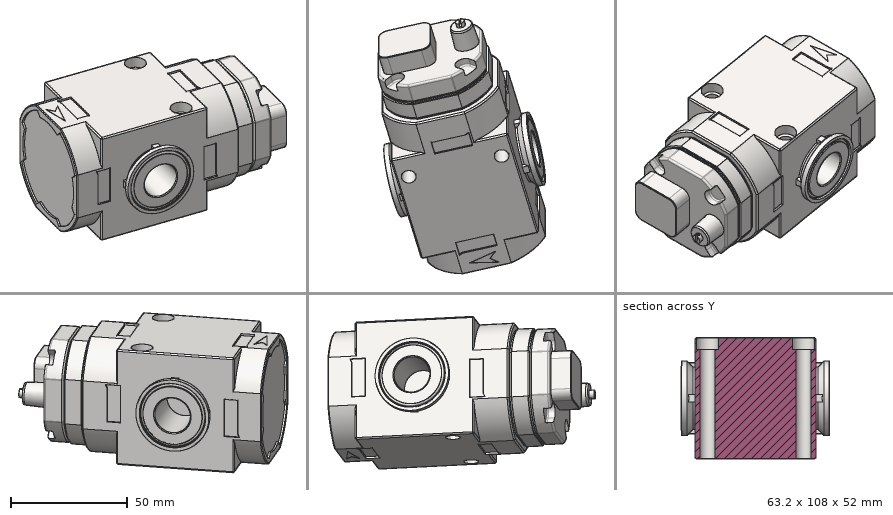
import cadquery as cq
import math


BODY_SIDE = 51.8
BODY_CORNER_RADIUS = 28.1
BODY_FRONT = -37.7
BODY_BACK = 41.0
CUBE_CHAMFER = 0.6
BODY_FRONT_CHAMFER = 0.4
BODY_BACK_CHAMFER = 0.6
HALF_BODY = BODY_SIDE / 2
EMBED = 1.1

RECESS_DEPTH = 0.9
RECESS_OUTER_RADIUS = 25.7
RECESS_INNER_RADIUS = 22.8
RECESS_OUTER_HALF_ANGLE = 22.2
RECESS_INNER_HALF_ANGLE = 19.7
RECESS_TURN = -1.0

LABEL_LENGTH = 16.7
LABEL_WIDTH = 5.9
LABEL_DEPTH = 0.9
LABEL_TICK_LENGTH = 1.5
LABEL_TICK_HEIGHT = 0.6
BACK_LABEL_CENTER = (1.5, 27.0)
FRONT_LABEL_CENTER = (-1.3, -24.4)
ARROW_HEIGHT = 0.1
ARROW_TIP_X = 6.4
ARROW_NOTCH_X = -2.6
ARROW_TAIL_X = -5.7
ARROW_HALF_WIDTH = 2.8
ARROW_Y = -32.8

MOUNT_X = 20.5
MOUNT_Y = 15.8
MOUNT_DIAMETER = 6.3
MOUNT_BORE_DIAMETER = 9.3
MOUNT_BORE_DEPTH = 5.0

PORT_FACE = 31.5
PORT_FLANGE_RADIUS = 16.0
PORT_FLANGE_WIDTH = 2.3
PORT_NECK_RADIUS = 13.5
PORT_CONE_LENGTH = PORT_FLANGE_RADIUS - PORT_NECK_RADIUS
PORT_BORE_RADIUS = 7.8
PORT_BORE_DEPTH = 23.8
PORT_BORE_CHAMFER = 0.4
SEAL_GROOVE_INNER = 13.0
SEAL_GROOVE_OUTER = 14.5
SEAL_GROOVE_DEPTH = 1.1
SEAL_WIDTH = 1.1
RIGHT_SEAL_RISE = 0.2
LEFT_SEAL_RISE = -0.4
LUG_WIDTH = 3.2
LUG_REACH = 15.2
LUG_END = 28.7

NECK_SIDE = 46.2
NECK_CORNER_RADIUS = 25.1
RING_SIDE = 46.9
RING_CORNER_RADIUS = 25.5
RING_FRONT = 41.8
RING_BACK = 48.9
COVER_SIDE = 46.1
COVER_CORNER_RADIUS = 25.0
COVER_FRONT = 49.6
COVER_BACK = 58.4
COVER_FRONT_CHAMFER = 0.9
COVER_BACK_FILLET = 1.0
COVER_SIDE_FILLET = 0.9
SEAM_SIDE = 45.4
SEAM_CORNER_RADIUS = 24.6
NOTCH_WIDTH = 7.1
NOTCH_DEPTH = 3.5
NOTCH_FLOOR_FILLET = 0.6
NOTCH_BOTTOM_RADIUS = 17.3

KNOB_X = -16.4
KNOB_BASE_RADIUS = 5.4
KNOB_TOP_RADIUS = 5.0
KNOB_END = 68.1
KNOB_CHAMFER = 0.3
KNOB_CHAMFER_LENGTH = 0.9
SCREW_RADIUS = 1.9
SCREW_END = 70.3
SCREW_SLOT_WIDTH = 0.9
SCREW_SLOT_DEPTH = 1.5

SOCKET_X = 8.9
SOCKET_WIDTH = 23.1
SOCKET_HEIGHT = 21.8
SOCKET_CORNER_RADIUS = 4.1
SOCKET_END = 67.3
SOCKET_CHAMFER = 0.3


def plane_at(y):
    """Work plane across the main axis whose normal points to +Y."""
    return cq.Workplane(cq.Plane(origin=(0, y, 0), xDir=(1, 0, 0), normal=(0, 1, 0)))


def rounded_bar(side, corner_radius, y_start, y_end):
    """Square bar along Y with its corners turned to a common radius."""
    length = y_end - y_start
    square = plane_at(y_start).rect(side, side).extrude(length)
    round_bar = plane_at(y_start).circle(corner_radius).extrude(length)
    return square.intersect(round_bar)


def spin_y(shape, angle):
    return shape.rotate((0, 0, 0), (0, 1, 0), angle)


def make_body():
    bar = rounded_bar(BODY_SIDE, BODY_CORNER_RADIUS, BODY_FRONT, BODY_BACK)
    bar = bar.faces("<Y").chamfer(BODY_FRONT_CHAMFER)
    bar = bar.faces(">Y").chamfer(BODY_BACK_CHAMFER)
    cube = cq.Workplane().box(BODY_SIDE, BODY_SIDE, BODY_SIDE).edges().chamfer(CUBE_CHAMFER)
    return bar.union(cube)


def recess_point(radius, angle):
    turned = math.radians(angle + RECESS_TURN)
    return (radius * math.cos(turned), radius * math.sin(turned))


def make_front_recess():
    """Disc outline that steps between a large and a small radius four times."""
    outline = cq.Workplane("XZ", origin=(0, BODY_FRONT, 0))
    outline = outline.moveTo(*recess_point(RECESS_INNER_RADIUS, -RECESS_INNER_HALF_ANGLE))
    for quarter in range(4):
        inner = 90 * quarter
        outer = inner + 45
        outline = outline.threePointArc(
            recess_point(RECESS_INNER_RADIUS, inner),
            recess_point(RECESS_INNER_RADIUS, inner + RECESS_INNER_HALF_ANGLE),
        )
        outline = outline.lineTo(*recess_point(RECESS_OUTER_RADIUS, outer - RECESS_OUTER_HALF_ANGLE))
        outline = outline.threePointArc(
            recess_point(RECESS_OUTER_RADIUS, outer),
            recess_point(RECESS_OUTER_RADIUS, outer + RECESS_OUTER_HALF_ANGLE),
        )
        if quarter < 3:
            next_inner = inner + 90 - RECESS_INNER_HALF_ANGLE
            outline = outline.lineTo(*recess_point(RECESS_INNER_RADIUS, next_inner))
    return outline.close().extrude(-RECESS_DEPTH)


def make_label_pocket(center, direction):
    """Pocket in the top face; direction -1 turns it half a turn."""
    right = LABEL_LENGTH / 2
    top = LABEL_WIDTH / 2
    corners = [
        (-right, -top),
        (right, -top),
        (right, top + LABEL_TICK_HEIGHT),
        (right - LABEL_TICK_LENGTH, top),
        (-right, top),
    ]
    placed = [(center[0] + direction * x, center[1] + direction * y) for x, y in corners]
    top_face = cq.Workplane("XY", origin=(0, 0, HALF_BODY))
    return top_face.polyline(placed).close().extrude(-LABEL_DEPTH)


def make_arrow():
    corners = [
        (ARROW_TIP_X, ARROW_Y),
        (ARROW_TAIL_X, ARROW_Y + ARROW_HALF_WIDTH),
        (ARROW_NOTCH_X, ARROW_Y),
        (ARROW_TAIL_X, ARROW_Y - ARROW_HALF_WIDTH),
    ]
    base = cq.Workplane("XY", origin=(0, 0, HALF_BODY - EMBED))
    return base.polyline(corners).close().extrude(EMBED + ARROW_HEIGHT)


def make_mount_hole(x):
    hole = cq.Workplane("XY", origin=(x, MOUNT_Y, -HALF_BODY)).circle(MOUNT_DIAMETER / 2).extrude(BODY_SIDE)
    bore = cq.Workplane("XY", origin=(x, MOUNT_Y, HALF_BODY))
    bore = bore.circle(MOUNT_BORE_DIAMETER / 2).extrude(-MOUNT_BORE_DEPTH)
    return hole.union(bore)


def turn_about_x(points):
    """Solid of revolution about X from (x, radius) points."""
    return cq.Workplane("XY").polyline(points).close().revolve(360, (0, 0, 0), (1, 0, 0))


def make_port(seal_rise):
    """Flange, neck, lugs and seal of a port facing +X, without its bore."""
    inside = HALF_BODY - EMBED
    flange_back = PORT_FACE - PORT_FLANGE_WIDTH
    port = turn_about_x([
        (inside, 0),
        (inside, PORT_NECK_RADIUS),
        (flange_back - PORT_CONE_LENGTH, PORT_NECK_RADIUS),
        (flange_back, PORT_FLANGE_RADIUS),
        (PORT_FACE, PORT_FLANGE_RADIUS),
        (PORT_FACE, 0),
    ])
    lug_length = LUG_END - inside
    lug_center = inside + lug_length / 2
    port = port.union(cq.Workplane().box(lug_length, 2 * LUG_REACH, LUG_WIDTH).translate((lug_center, 0, 0)))
    port = port.union(cq.Workplane().box(lug_length, LUG_WIDTH, 2 * LUG_REACH).translate((lug_center, 0, 0)))
    face = cq.Workplane("YZ", origin=(PORT_FACE, 0, 0))
    groove = face.circle(SEAL_GROOVE_OUTER).circle(SEAL_GROOVE_INNER).extrude(-SEAL_GROOVE_DEPTH)
    return port.cut(groove).union(make_seal(seal_rise))


def make_seal(rise):
    """Ring with a round crest against the inner wall of the groove."""
    floor = PORT_FACE - SEAL_GROOVE_DEPTH
    crest = PORT_FACE + rise
    half = SEAL_WIDTH / 2
    crest_radius = SEAL_GROOVE_INNER + half
    profile = (
        cq.Workplane("XY")
        .moveTo(floor, SEAL_GROOVE_INNER)
        .lineTo(crest - half, SEAL_GROOVE_INNER)
        .threePointArc((crest, crest_radius), (crest - half, SEAL_GROOVE_INNER + SEAL_WIDTH))
        .lineTo(floor, SEAL_GROOVE_INNER + SEAL_WIDTH)
        .close()
    )
    return profile.revolve(360, (0, 0, 0), (1, 0, 0))


def make_port_bore():
    mouth_radius = PORT_BORE_RADIUS + PORT_BORE_CHAMFER
    bottom = PORT_FACE - PORT_BORE_DEPTH
    return turn_about_x([
        (bottom, 0),
        (bottom, PORT_BORE_RADIUS),
        (PORT_FACE - PORT_BORE_CHAMFER, PORT_BORE_RADIUS),
        (PORT_FACE, mouth_radius),
        (PORT_FACE, 0),
    ])


def make_cover_stack():
    """Neck, collar ring, seam and cover, one behind the other."""
    neck = rounded_bar(NECK_SIDE, NECK_CORNER_RADIUS, BODY_BACK, RING_FRONT)
    ring = rounded_bar(RING_SIDE, RING_CORNER_RADIUS, RING_FRONT, RING_BACK)
    seam = rounded_bar(SEAM_SIDE, SEAM_CORNER_RADIUS, RING_BACK, COVER_FRONT)
    cover = rounded_bar(COVER_SIDE, COVER_CORNER_RADIUS, COVER_FRONT, COVER_BACK)
    cover = cover.edges("|Y").fillet(COVER_SIDE_FILLET)
    cover = cover.faces("<Y").chamfer(COVER_FRONT_CHAMFER)
    cover = cover.faces(">Y").fillet(COVER_BACK_FILLET)
    for quarter in range(4):
        cover = cover.cut(spin_y(make_notch(), 45 + 90 * quarter))
    return neck.union(ring).union(seam).union(cover)


def make_notch():
    """Round-ended radial slot cut into the cover edge on the +X side."""
    outer_end = COVER_CORNER_RADIUS + NOTCH_WIDTH
    length = outer_end - NOTCH_BOTTOM_RADIUS
    slot = plane_at(COVER_BACK).center(NOTCH_BOTTOM_RADIUS + length / 2, 0)
    slot = slot.slot2D(length, NOTCH_WIDTH).extrude(-NOTCH_DEPTH)
    return slot.faces("<Y").edges().fillet(NOTCH_FLOOR_FILLET)


def make_knob():
    shoulder = KNOB_END - KNOB_CHAMFER_LENGTH
    profile = [
        (0, COVER_BACK),
        (KNOB_BASE_RADIUS, COVER_BACK),
        (KNOB_TOP_RADIUS, shoulder),
        (KNOB_TOP_RADIUS - KNOB_CHAMFER, KNOB_END),
        (SCREW_RADIUS, KNOB_END),
        (SCREW_RADIUS, SCREW_END),
        (0, SCREW_END),
    ]
    knob = cq.Workplane("XY").polyline(profile).close().revolve(360, (0, 0, 0), (0, 1, 0))
    slot = plane_at(SCREW_END).rect(SCREW_SLOT_WIDTH, 3 * SCREW_RADIUS).extrude(-SCREW_SLOT_DEPTH)
    return knob.cut(slot).translate((KNOB_X, 0, 0))


def make_socket():
    socket = plane_at(COVER_BACK).center(SOCKET_X, 0).rect(SOCKET_WIDTH, SOCKET_HEIGHT)
    socket = socket.extrude(SOCKET_END - COVER_BACK)
    socket = socket.edges("|Y").fillet(SOCKET_CORNER_RADIUS)
    return socket.faces(">Y").chamfer(SOCKET_CHAMFER)


result = make_body().cut(make_front_recess())

for face_turn in range(4):
    result = result.cut(spin_y(make_label_pocket(BACK_LABEL_CENTER, 1), 90 * face_turn))
    result = result.cut(spin_y(make_label_pocket(FRONT_LABEL_CENTER, -1), 90 * face_turn))

result = result.union(make_arrow()).union(make_arrow().mirror("XY"))

for mount_side in (-1, 1):
    result = result.cut(make_mount_hole(mount_side * MOUNT_X))

for port_turn, seal_rise in ((0, RIGHT_SEAL_RISE), (180, LEFT_SEAL_RISE)):
    result = result.union(spin_y(make_port(seal_rise), port_turn))
    result = result.cut(spin_y(make_port_bore(), port_turn))

result = result.union(make_cover_stack()).union(make_knob()).union(make_socket())